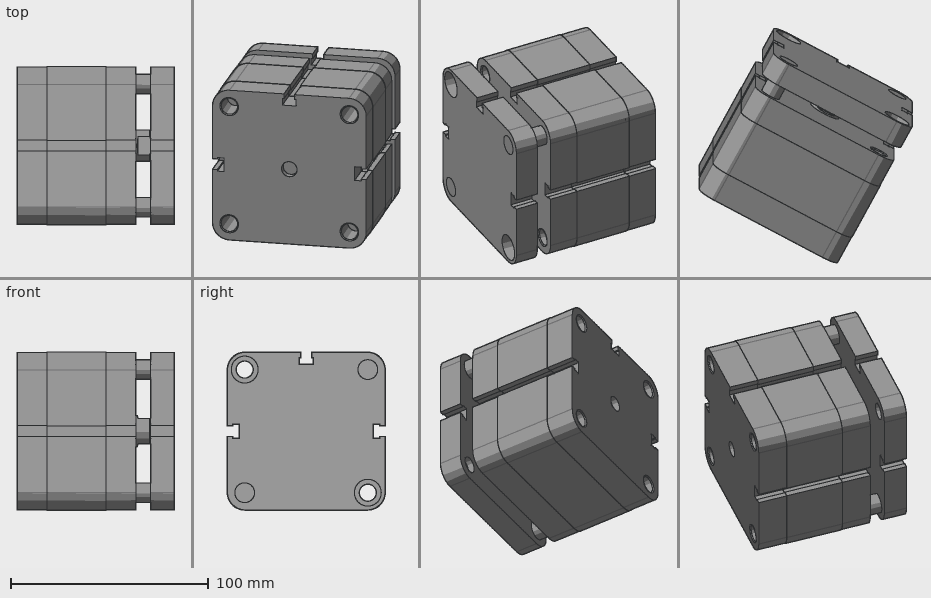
import cadquery as cq
barrel_side = 80.0
barrel_step = 0.2
side = barrel_side - 2 * barrel_step
corner_radius = 8.9

cap_length = 15.0
barrel_length = 29.9
gap = 7.5
plate_thickness = 12.0
housing_length = 2 * cap_length + barrel_length
plate_start = housing_length + gap
total_length = plate_start + plate_thickness

slot_depth = 6.0
lip_depth = 2.6
mouth_width = 5.6
undercut_width = 7.2
slot_angles = (0, 90, -90)

hole_offset = 31.1
hole_diameter = 8.5
hole_chamfer = 0.6

plate_hole_land = 3.4
screw_pocket_diameter = 13.6

recess_diameter = 8.0
recess_depth = 4.0

guide_diameter = 10.0
guide_start = cap_length

rod_diameter = 16.0
rod_chamfer = 0.6
flat_spacing = 13.0
flat_start = 0.7
flat_run_out = 0.5
rod_start = housing_length - cap_length

guide_corners = [(1, 1), (-1, -1)]
open_corners = [(1, -1), (-1, 1)]


def cylinder(diameter, start, end, y=0.0, z=0.0):
    """Cylinder along X between two stations."""
    return cq.Workplane("YZ", origin=(start, y, z)).circle(diameter / 2).extrude(end - start)


def chamfered_hole_tool(start, end, y, z):
    """Cutter along X for a through hole with a chamfer at each end."""
    radius = hole_diameter / 2
    mouth_radius = radius + hole_chamfer
    return (
        cq.Workplane("XY", origin=(0, y, z))
        .moveTo(start, 0)
        .lineTo(start, mouth_radius)
        .lineTo(start + hole_chamfer, radius)
        .lineTo(end - hole_chamfer, radius)
        .lineTo(end, mouth_radius)
        .lineTo(end, 0)
        .close()
        .revolve(360, (0, 0, 0), (1, 0, 0))
    )


def slotted_block(start, length, growth=0.0):
    """Rounded square block along X with T-slots, its whole outline grown outward by growth."""
    width = side + 2 * growth
    block = cq.Workplane("YZ", origin=(start, 0, 0)).rect(width, width).extrude(length)
    block = block.edges("|X").fillet(corner_radius + growth)
    top = width / 2
    floor = side / 2 - slot_depth + growth
    lip = side / 2 - lip_depth - growth
    mouth = mouth_width / 2 - growth
    undercut = undercut_width / 2 - growth
    slot = (
        cq.Workplane("YZ", origin=(start, 0, 0))
        .moveTo(-undercut, floor)
        .lineTo(undercut, floor)
        .lineTo(undercut, lip)
        .lineTo(mouth, lip)
        .lineTo(mouth, top)
        .lineTo(-mouth, top)
        .lineTo(-mouth, lip)
        .lineTo(-undercut, lip)
        .close()
        .extrude(length)
    )
    for angle in slot_angles:
        block = block.cut(slot.rotate((0, 0, 0), (1, 0, 0), angle))
    return block


def make_guide_rod(corner):
    y, z = (hole_offset * sign for sign in corner)
    return cylinder(guide_diameter, guide_start, total_length, y, z)


def make_piston_rod():
    rod = cylinder(rod_diameter, rod_start, plate_start).faces(">X").chamfer(rod_chamfer)
    flat_x = housing_length + flat_start
    flat_height = flat_spacing / 2
    flat = (
        cq.Workplane("XZ", origin=(0, rod_diameter / 2, 0))
        .moveTo(flat_x, rod_diameter / 2)
        .lineTo(flat_x + flat_run_out, flat_height)
        .lineTo(plate_start, flat_height)
        .lineTo(plate_start, rod_diameter / 2)
        .close()
        .extrude(rod_diameter)
    )
    return rod.cut(flat).cut(flat.mirror("XY"))


def make_housing():
    body = slotted_block(0, cap_length)
    body = body.union(slotted_block(cap_length, barrel_length, barrel_step))
    body = body.union(slotted_block(housing_length - cap_length, cap_length))
    for y_sign, z_sign in guide_corners + open_corners:
        y = hole_offset * y_sign
        z = hole_offset * z_sign
        body = body.cut(chamfered_hole_tool(0, housing_length, y, z))
    return body.cut(cylinder(recess_diameter, 0, recess_depth))


def make_plate():
    pocket_start = plate_start + plate_hole_land
    plate = slotted_block(plate_start, plate_thickness)
    for y_sign, z_sign in open_corners:
        y = hole_offset * y_sign
        z = hole_offset * z_sign
        plate = plate.cut(cylinder(hole_diameter, plate_start, total_length, y, z))
        plate = plate.cut(cylinder(screw_pocket_diameter, pocket_start, total_length, y, z))
    return plate


guide_rods = [make_guide_rod(corner) for corner in guide_corners]
piston_rod = make_piston_rod()
housing = make_housing().cut(piston_rod)
plate = make_plate()
for guide_rod in guide_rods:
    housing = housing.cut(guide_rod)
    plate = plate.cut(guide_rod)

result = cq.Compound.makeCompound(
    [housing.val(), plate.val(), piston_rod.val(), *[rod.val() for rod in guide_rods]]
)